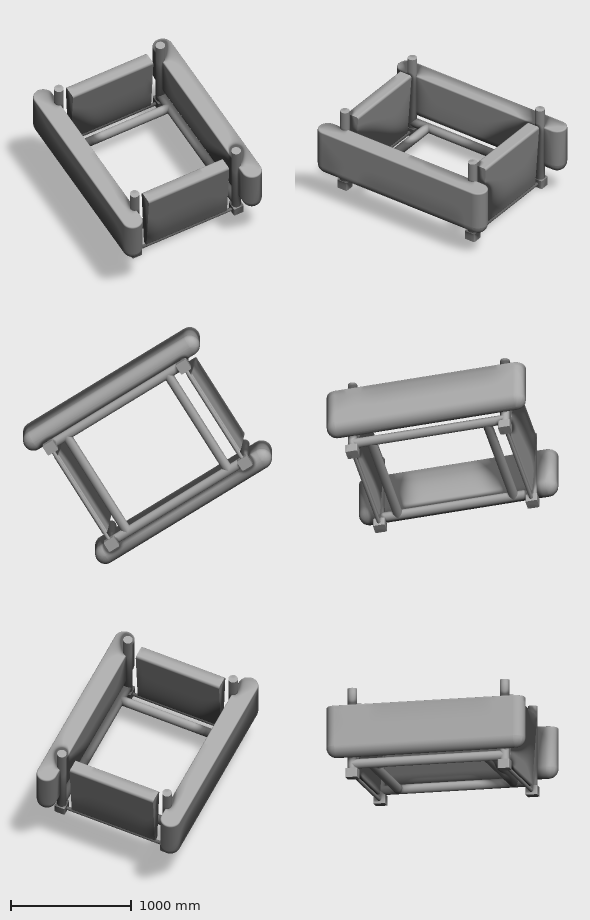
import cadquery as cq
import math

overall_width = 1300.0
overall_height = 760.0
post_spacing_x = 1300.0

float_length = 1694.0
float_width = 170.0
float_height = 429.0
float_bottom_z = 160.0
float_top_fillet = 12.0
keel_flat_width = 0.3

tube_diameter = 80.0
rail_z = 120.0
cross_rail_spacing = 986.0

foot_length = 100.0
foot_width = 93.0
foot_height = 78.0
foot_corner_radius = 10.0
rod_radius = 15.0
rod_z = 35.0

panel_length = 760.0
panel_bottom_z = 61.0
panel_height = 596.0
panel_top_thickness = 127.0
panel_taper_angle = 4.0
panel_top_fillet = 20.0
panel_bottom_fillet = 17.0

post_x = post_spacing_x / 2
float_bottom_fillet = (float_width - keel_flat_width) / 2
float_y = (overall_width - float_width) / 2
post_y = overall_width / 2 - float_width
cross_rail_x = cross_rail_spacing / 2
tube_radius = tube_diameter / 2
sides = (-1, 1)


def make_float(y):
    """Pontoon along X with round ends, a slightly eased top rim and an almost fully rounded keel."""
    return (
        cq.Workplane("XY", origin=(0, y, float_bottom_z))
        .slot2D(float_length, float_width)
        .extrude(float_height)
        .faces(">Z").edges().fillet(float_top_fillet)
        .faces("<Z").edges().fillet(float_bottom_fillet)
    )


def make_foot(x, y):
    """Block under a post, with rounded upright edges."""
    return (
        cq.Workplane("XY", origin=(x, y, 0))
        .rect(foot_length, foot_width)
        .extrude(foot_height)
        .edges("|Z").fillet(foot_corner_radius)
    )


def make_post(x, y):
    """Upright tube from the foot to the full height."""
    post_length = overall_height - foot_height
    return cq.Workplane("XY", origin=(x, y, foot_height)).circle(tube_radius).extrude(post_length)


def make_long_rail(y):
    """Tube along X between the centrelines of two posts."""
    return cq.Workplane("YZ", origin=(-post_x, y, rail_z)).circle(tube_radius).extrude(post_spacing_x)


def make_crossbar(x, z, radius):
    """Round bar along Y between the two sides of the frame."""
    return cq.Workplane("XZ", origin=(x, post_y, z)).circle(radius).extrude(2 * post_y)


def make_frame():
    """Floats, posts, feet, rails and tie rods joined into one body."""
    frame = make_float(-float_y).union(make_float(float_y))
    for side_y in sides:
        frame = frame.union(make_long_rail(side_y * post_y))
        for side_x in sides:
            frame = frame.union(make_post(side_x * post_x, side_y * post_y))
            frame = frame.union(make_foot(side_x * post_x, side_y * post_y))
    for side_x in sides:
        frame = frame.union(make_crossbar(side_x * cross_rail_x, rail_z, tube_radius))
        frame = frame.union(make_crossbar(side_x * post_x, rod_z, rod_radius))
    return frame


def make_panel(x):
    """Upright slab between two posts, thicker at the top, with rounded long edges."""
    inset = panel_height * math.tan(math.radians(panel_taper_angle))
    top_half = panel_top_thickness / 2
    bottom_half = top_half - inset
    return (
        cq.Workplane("XZ", origin=(x, panel_length / 2, panel_bottom_z))
        .polyline([
            (-bottom_half, 0),
            (bottom_half, 0),
            (top_half, panel_height),
            (-top_half, panel_height),
        ])
        .close()
        .extrude(panel_length)
        .faces(">Z").edges("|Y").fillet(panel_top_fillet)
        .faces("<Z").edges("|Y").fillet(panel_bottom_fillet)
    )


frame = make_frame()
panels = [make_panel(side_x * post_x) for side_x in sides]

result = cq.Compound.makeCompound([frame.val(), *[panel.val() for panel in panels]])